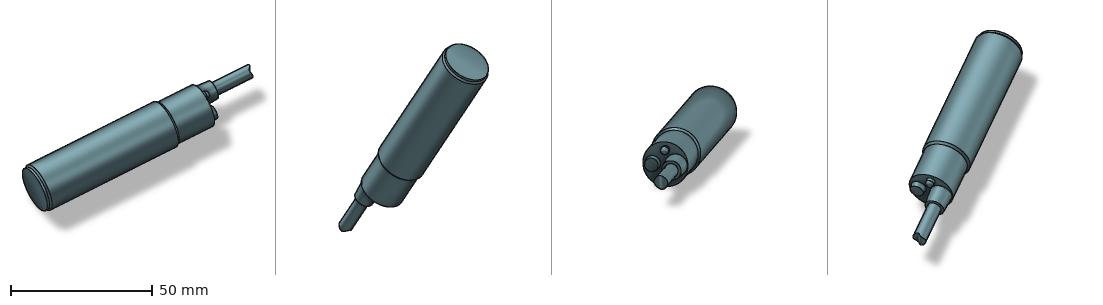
import cadquery as cq

total_length = 92.7
sleeve_diameter = 18.0
sleeve_start = 1.7
sleeve_end = 54.3

rim_diameter = 16.8
rim_length = 0.9

housing_diameter = 16.5
housing_end = 69.9
sleeve_chamfer_length = 0.8

cable_diameter = 5.0
cable_offset = -3.9
boot_base_diameter = 8.2
boot_tip_diameter = 7.1
boot_length = 6.95
break_wave_height = 0.65

light_diameter = 3.1
light_height_on_face = 5.4
light_stem_length = 1.2
light_dome_diameter = 3.0
adjuster_offset = 4.6
adjuster_base_diameter = 5.65
adjuster_tip_diameter = 5.0
adjuster_length = 2.0

overlap = 0.9


def revolve_about_y(profile_points):
    """Revolve a closed outline of (radius, y) points about the Y axis."""
    outline = cq.Workplane("XY").polyline(profile_points).close()
    return outline.revolve(360, (0, 0), (0, 1))


def make_body():
    return revolve_about_y([
        (0, 0),
        (rim_diameter / 2, 0),
        (rim_diameter / 2, rim_length),
        (sleeve_diameter / 2, sleeve_start),
        (sleeve_diameter / 2, sleeve_end),
        (housing_diameter / 2, sleeve_end + sleeve_chamfer_length),
        (housing_diameter / 2, housing_end),
        (0, housing_end),
    ])


def make_tapered_post(base_diameter, tip_diameter, length):
    """Conical post standing on the rear face, centred on the Y axis."""
    return revolve_about_y([
        (0, housing_end - overlap),
        (base_diameter / 2, housing_end - overlap),
        (base_diameter / 2, housing_end),
        (tip_diameter / 2, housing_end + length),
        (0, housing_end + length),
    ])


def make_cable():
    """Round cable whose free end is cut along an S-shaped break line."""
    radius = cable_diameter / 2
    wave_middle = total_length - break_wave_height
    wave_bottom = wave_middle - break_wave_height
    broken_strip = (
        cq.Workplane("XY")
        .moveTo(-radius, housing_end)
        .lineTo(-radius, wave_middle)
        .threePointArc((-radius / 2, total_length), (0, wave_middle))
        .threePointArc((radius / 2, wave_bottom), (radius, wave_middle))
        .lineTo(radius, housing_end)
        .close()
        .extrude(radius, both=True)
    )
    round_cable = revolve_about_y([
        (0, housing_end),
        (radius, housing_end),
        (radius, total_length),
        (0, total_length),
    ])
    return round_cable.intersect(broken_strip)


def make_light():
    """Short round stem topped by a hemispherical dome."""
    stem = make_tapered_post(light_diameter, light_diameter, light_stem_length)
    dome = cq.Workplane("XY").sphere(light_dome_diameter / 2)
    return stem.union(dome.translate((0, housing_end + light_stem_length, 0)))


boot = make_tapered_post(boot_base_diameter, boot_tip_diameter, boot_length)
cable_assembly = boot.union(make_cable()).translate((cable_offset, 0, 0))
adjuster = make_tapered_post(adjuster_base_diameter, adjuster_tip_diameter, adjuster_length)

result = (
    make_body()
    .union(cable_assembly)
    .union(make_light().translate((0, 0, light_height_on_face)))
    .union(adjuster.translate((adjuster_offset, 0, 0)))
)